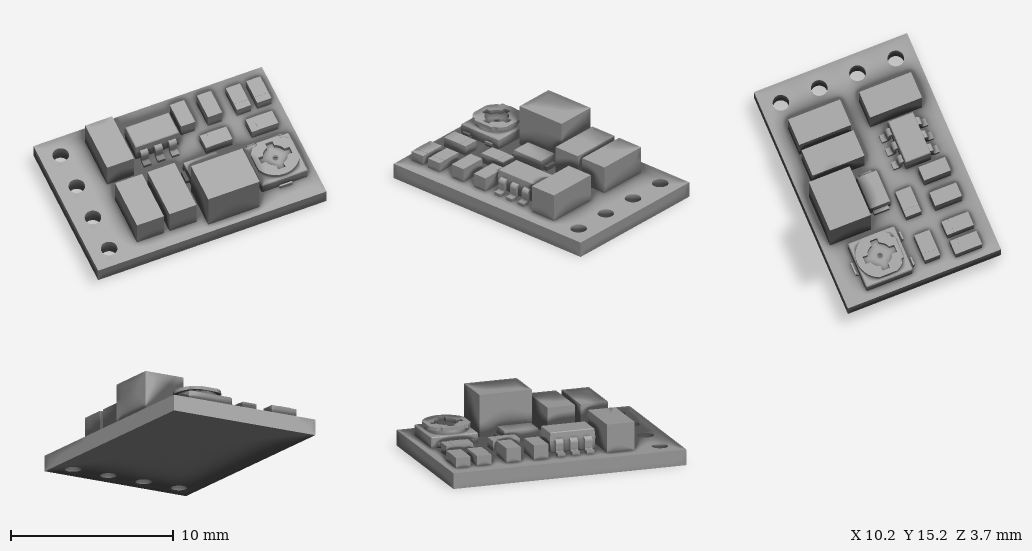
import cadquery as cq
import math

BOARD_X = 10.17
BOARD_Y = 15.24
BOARD_T = 1.0
OVERALL_Z = 3.7

PIN_HOLE_D = 1.02
PIN_HOLE_COUNT = 4
PIN_HOLE_PITCH = BOARD_X / PIN_HOLE_COUNT
PIN_HOLE_EDGE = PIN_HOLE_PITCH / 2

SINK = 0.08
LEAD_ROOT = 0.15
DIAGONAL = math.sqrt(0.5)

CHIP_LENGTH = 1.77
CHIP_WIDTH = 0.95
LOW_CHIP_H = 0.65
TALL_CHIP_H = 0.93
COATING_T = 0.02
WIDE_TERMINAL = 0.45
NARROW_TERMINAL = 0.34

LEFT_COLUMN_X = -3.17
LOW_CHIP_YS = [6.6, 5.25]
TALL_CHIP_YS = [3.3, 1.51]

UPRIGHT_CHIP_X = -0.9
UPRIGHT_CHIP_WIDTH = 1.0
UPRIGHT_CHIP_YS = [5.85, 2.79]

CAPACITOR_LENGTH = 3.45
CAPACITOR_WIDTH = 1.8
CAPACITOR_H = 1.8
CAPACITOR_TERMINAL = 0.53
CAPACITOR_CENTRES = [(-2.38, -3.69), (2.33, -3.69), (2.33, -1.52)]

INDUCTOR_CENTRE = (3.19, 1.68)
INDUCTOR_LENGTH = 3.43
INDUCTOR_WIDTH = 2.71
INDUCTOR_H = OVERALL_Z - BOARD_T
INDUCTOR_TERMINAL = 0.64

TRIMMER_CENTRE = (2.05, 5.47)
TRIMMER_SIDE = 3.08
TRIMMER_BODY_H = 0.7
TRIMMER_CHAMFER = 0.06

ROTOR_OFFSET_X = 0.03
ROTOR_R = 1.5
ROTOR_SIDE_FLAT = 1.37
ROTOR_LEFT_FLAT = 1.3
ROTOR_BOTTOM = 0.93
ROTOR_TOP = 1.15
NOTCH_X = 1.08
NOTCH_Y = 0.73
NOTCH_FILLET = 0.15

NECK_TOP_D = 2.5
NECK_BASE_D = 2.65

RECESS_DEPTH = 0.26
RECESS_D = 1.52
DRIVE_SLOT_LENGTH = 2.09
DRIVE_SLOT_WIDTH = 0.49
DIMPLE_D = 0.25
DIMPLE_MOUTH_D = 0.41
DIMPLE_DEPTH = 0.18

HOOK_REACH = 1.81
HOOK_BEND_R = 0.21
HOOK_THICKNESS = 0.1
HOOK_TOP = 0.38
SIDE_HOOK_WIDTH = 0.53
SIDE_HOOK_Y = 0.9
CENTRE_HOOK_WIDTH = 0.81

PACKAGE_CENTRE = (-2.45, -0.82)
PACKAGE_X = 1.74
PACKAGE_Y = 2.97
PACKAGE_BOTTOM = 0.09
PACKAGE_PARTING = 0.87
PACKAGE_TOP = 1.4
PACKAGE_DRAFT = 0.05
PACKAGE_CHAMFER = 0.05

LEAD_PITCH = 0.95
LEAD_WIDTH = 0.49
LEAD_THICKNESS = 0.21
LEAD_REACH = 1.52
LEAD_SHANK_X = 1.16
LEAD_HEEL_R = 0.09
LEAD_TOP = 0.98
LEAD_BEND_R = 0.27

DIODE_CENTRE = (0.8, 1.26)
DIODE_X = 1.4
DIODE_Y = 2.27
DIODE_PARTING = 0.27
DIODE_H = 0.7
DIODE_DRAFT = 0.05
DIODE_TAB_REACH = 1.37
DIODE_TAB_H = 0.27
DIODE_WIDE_TAB = 1.0
DIODE_NARROW_TAB = 0.78


def box(x_size, y_size, bottom, top):
    """Box centred on the Z axis between two heights."""
    return cq.Workplane("XY").workplane(offset=bottom).rect(x_size, y_size).extrude(top - bottom)


def frustum(bottom_size, top_size, bottom, top):
    """Rectangular block whose four sides lean between two sizes."""
    return (
        cq.Workplane("XY").workplane(offset=bottom).rect(*bottom_size)
        .workplane(offset=top - bottom).rect(*top_size)
        .loft(ruled=True)
    )


def make_board():
    first_hole_x = -PIN_HOLE_PITCH * (PIN_HOLE_COUNT - 1) / 2
    hole_y = -BOARD_Y / 2 + PIN_HOLE_EDGE
    hole_centres = [(first_hole_x + i * PIN_HOLE_PITCH, hole_y) for i in range(PIN_HOLE_COUNT)]
    holes = cq.Workplane("XY").pushPoints(hole_centres).circle(PIN_HOLE_D / 2).extrude(BOARD_T)
    return box(BOARD_X, BOARD_Y, 0, BOARD_T).cut(holes)


def make_capped_chip(length, width, height, terminal):
    """Chip lying along X: a middle block with a flush terminal block on each end."""
    chip = box(length - 2 * terminal, width, -SINK, height)
    for side in (-1, 1):
        end = box(terminal, width, -SINK, height).translate((side * (length - terminal) / 2, 0, 0))
        chip = chip.union(end, clean=False)
    return chip


def make_coated_chip(length, width):
    """Low chip lying along X, with a thin coating on top between its bare ends."""
    chip = box(length, width, -SINK, LOW_CHIP_H - COATING_T)
    coating = box(length - 2 * WIDE_TERMINAL, width, -SINK, LOW_CHIP_H)
    return chip.union(coating)


def make_rotor():
    """Round disc with three flats, and a notch at both ends of the left flat."""
    side_flat_x = math.sqrt(ROTOR_R**2 - ROTOR_SIDE_FLAT**2)
    notch_end_y = math.sqrt(ROTOR_R**2 - NOTCH_X**2)
    fillet_x = NOTCH_X + NOTCH_FILLET
    fillet_y = NOTCH_Y + NOTCH_FILLET
    fillet_mid_x = fillet_x - NOTCH_FILLET * DIAGONAL
    fillet_mid_y = fillet_y - NOTCH_FILLET * DIAGONAL
    arc_angle = (math.atan2(notch_end_y, NOTCH_X) + math.atan2(ROTOR_SIDE_FLAT, side_flat_x)) / 2
    arc_mid_x = ROTOR_R * math.cos(arc_angle)
    arc_mid_y = ROTOR_R * math.sin(arc_angle)

    return (
        cq.Workplane("XY").workplane(offset=ROTOR_BOTTOM)
        .moveTo(side_flat_x, -ROTOR_SIDE_FLAT)
        .threePointArc((ROTOR_R, 0), (side_flat_x, ROTOR_SIDE_FLAT))
        .lineTo(-side_flat_x, ROTOR_SIDE_FLAT)
        .threePointArc((-arc_mid_x, arc_mid_y), (-NOTCH_X, notch_end_y))
        .lineTo(-NOTCH_X, fillet_y)
        .threePointArc((-fillet_mid_x, fillet_mid_y), (-fillet_x, NOTCH_Y))
        .lineTo(-ROTOR_LEFT_FLAT, NOTCH_Y)
        .lineTo(-ROTOR_LEFT_FLAT, -NOTCH_Y)
        .lineTo(-fillet_x, -NOTCH_Y)
        .threePointArc((-fillet_mid_x, -fillet_mid_y), (-NOTCH_X, -fillet_y))
        .lineTo(-NOTCH_X, -notch_end_y)
        .threePointArc((-arc_mid_x, -arc_mid_y), (-side_flat_x, -ROTOR_SIDE_FLAT))
        .close()
        .extrude(ROTOR_TOP - ROTOR_BOTTOM)
    )


def make_neck():
    """Cone that joins the trimmer body to the rotor."""
    return (
        cq.Workplane("XY").workplane(offset=TRIMMER_BODY_H).circle(NECK_BASE_D / 2)
        .workplane(offset=ROTOR_BOTTOM - TRIMMER_BODY_H).circle(NECK_TOP_D / 2)
        .loft()
    )


def make_drive_recess():
    """Cross-shaped screwdriver recess with a countersunk dimple in its floor."""
    floor = ROTOR_TOP - RECESS_DEPTH
    sink_depth = (DIMPLE_MOUTH_D - DIMPLE_D) / 2
    recess = cq.Workplane("XY").workplane(offset=floor).circle(RECESS_D / 2).extrude(RECESS_DEPTH)
    recess = recess.union(box(DRIVE_SLOT_LENGTH, DRIVE_SLOT_WIDTH, floor, ROTOR_TOP))
    recess = recess.union(box(DRIVE_SLOT_WIDTH, DRIVE_SLOT_LENGTH, floor, ROTOR_TOP))
    dimple = (
        cq.Workplane("XZ")
        .moveTo(0, floor)
        .lineTo(DIMPLE_MOUTH_D / 2, floor)
        .lineTo(DIMPLE_D / 2, floor - sink_depth)
        .lineTo(DIMPLE_D / 2, floor - DIMPLE_DEPTH)
        .lineTo(0, floor - DIMPLE_DEPTH)
        .close()
        .revolve(360, (0, 0), (0, 1))
    )
    return recess.union(dimple)


def make_hook(width):
    """J-shaped lead on the +X side: it leaves under the body and curls upward."""
    bend_x = HOOK_REACH - HOOK_BEND_R
    inner_x = HOOK_REACH - HOOK_THICKNESS
    inner_r = HOOK_BEND_R - HOOK_THICKNESS
    root_x = TRIMMER_SIDE / 2 - LEAD_ROOT
    return (
        cq.Workplane("XZ")
        .moveTo(root_x, -SINK)
        .lineTo(bend_x, -SINK)
        .lineTo(bend_x, 0)
        .threePointArc(
            (bend_x + HOOK_BEND_R * DIAGONAL, HOOK_BEND_R * (1 - DIAGONAL)),
            (HOOK_REACH, HOOK_BEND_R),
        )
        .lineTo(HOOK_REACH, HOOK_TOP)
        .lineTo(inner_x, HOOK_TOP)
        .lineTo(inner_x, HOOK_BEND_R)
        .threePointArc(
            (bend_x + inner_r * DIAGONAL, HOOK_BEND_R - inner_r * DIAGONAL),
            (bend_x, HOOK_THICKNESS),
        )
        .lineTo(root_x, HOOK_THICKNESS)
        .close()
        .extrude(width / 2, both=True)
    )


def make_trimmer():
    body = box(TRIMMER_SIDE, TRIMMER_SIDE, -SINK, TRIMMER_BODY_H)
    body = body.edges("|Z or >Z").chamfer(TRIMMER_CHAMFER)
    rotor = make_neck().union(make_rotor()).cut(make_drive_recess())
    trimmer = body.union(rotor.translate((ROTOR_OFFSET_X, 0, 0)))

    trimmer = trimmer.union(make_hook(CENTRE_HOOK_WIDTH))
    left_hook = make_hook(SIDE_HOOK_WIDTH).mirror("YZ")
    for side in (-1, 1):
        trimmer = trimmer.union(left_hook.translate((0, side * SIDE_HOOK_Y, 0)))
    return trimmer


def make_lead():
    """Gull-wing lead on the +X side: shoulder bend, upright shank, heel bend and flat foot."""
    inner_x = LEAD_SHANK_X - LEAD_THICKNESS
    shoulder_x = LEAD_SHANK_X - LEAD_BEND_R
    shoulder_z = LEAD_TOP - LEAD_BEND_R
    shoulder_inner_r = LEAD_BEND_R - LEAD_THICKNESS
    heel_x = LEAD_SHANK_X + LEAD_HEEL_R
    heel_z = LEAD_THICKNESS + LEAD_HEEL_R
    root_x = PACKAGE_X / 2 - LEAD_ROOT
    return (
        cq.Workplane("XZ")
        .moveTo(heel_x, -SINK)
        .lineTo(LEAD_REACH, -SINK)
        .lineTo(LEAD_REACH, LEAD_THICKNESS)
        .lineTo(heel_x, LEAD_THICKNESS)
        .threePointArc(
            (heel_x - LEAD_HEEL_R * DIAGONAL, heel_z - LEAD_HEEL_R * DIAGONAL),
            (LEAD_SHANK_X, heel_z),
        )
        .lineTo(LEAD_SHANK_X, shoulder_z)
        .threePointArc(
            (shoulder_x + LEAD_BEND_R * DIAGONAL, shoulder_z + LEAD_BEND_R * DIAGONAL),
            (shoulder_x, LEAD_TOP),
        )
        .lineTo(root_x, LEAD_TOP)
        .lineTo(root_x, LEAD_TOP - LEAD_THICKNESS)
        .lineTo(shoulder_x, LEAD_TOP - LEAD_THICKNESS)
        .threePointArc(
            (shoulder_x + shoulder_inner_r * DIAGONAL, shoulder_z + shoulder_inner_r * DIAGONAL),
            (inner_x, shoulder_z),
        )
        .lineTo(inner_x, heel_z)
        .threePointArc(
            (heel_x - heel_z * DIAGONAL, heel_z - heel_z * DIAGONAL),
            (heel_x, 0),
        )
        .close()
        .extrude(LEAD_WIDTH / 2, both=True)
    )


def make_package():
    """Moulded body leaning inward from its parting line, on three leads per side."""
    parting_size = (PACKAGE_X, PACKAGE_Y)
    end_size = (PACKAGE_X - 2 * PACKAGE_DRAFT, PACKAGE_Y - 2 * PACKAGE_DRAFT)
    lower = frustum(end_size, parting_size, PACKAGE_BOTTOM, PACKAGE_PARTING)
    upper = frustum(parting_size, end_size, PACKAGE_PARTING, PACKAGE_TOP)
    package = lower.union(upper).edges("<Z or >Z").chamfer(PACKAGE_CHAMFER)

    right_lead = make_lead()
    left_lead = right_lead.mirror("YZ")
    for row in (-1, 0, 1):
        shift = (0, row * LEAD_PITCH, 0)
        package = package.union(right_lead.translate(shift)).union(left_lead.translate(shift))
    return package


def make_diode():
    """Moulded body leaning inward above its parting line, with a tab at each end."""
    top_size = (DIODE_X - 2 * DIODE_DRAFT, DIODE_Y - 2 * DIODE_DRAFT)
    diode = box(DIODE_X, DIODE_Y, -SINK, DIODE_PARTING)
    diode = diode.union(frustum((DIODE_X, DIODE_Y), top_size, DIODE_PARTING, DIODE_H))
    for side, tab_width in ((1, DIODE_WIDE_TAB), (-1, DIODE_NARROW_TAB)):
        tab = box(tab_width, DIODE_TAB_REACH, -SINK, DIODE_TAB_H)
        diode = diode.union(tab.translate((0, side * DIODE_TAB_REACH / 2, 0)))
    return diode


def mount(assembly, component, centre):
    """Fuse a part, modelled from Z = 0, onto the board's upper face."""
    return assembly.union(component.translate((*centre, BOARD_T)), clean=False)


result = make_board()

low_chip = make_coated_chip(CHIP_LENGTH, CHIP_WIDTH)
for chip_y in LOW_CHIP_YS:
    result = mount(result, low_chip, (LEFT_COLUMN_X, chip_y))

tall_chip = make_capped_chip(CHIP_LENGTH, CHIP_WIDTH, TALL_CHIP_H, NARROW_TERMINAL)
for chip_y in TALL_CHIP_YS:
    result = mount(result, tall_chip, (LEFT_COLUMN_X, chip_y))

upright_chip = make_coated_chip(CHIP_LENGTH, UPRIGHT_CHIP_WIDTH)
upright_chip = upright_chip.rotate((0, 0, 0), (0, 0, 1), 90)
for chip_y in UPRIGHT_CHIP_YS:
    result = mount(result, upright_chip, (UPRIGHT_CHIP_X, chip_y))

capacitor = make_capped_chip(CAPACITOR_LENGTH, CAPACITOR_WIDTH, CAPACITOR_H, CAPACITOR_TERMINAL)
for capacitor_centre in CAPACITOR_CENTRES:
    result = mount(result, capacitor, capacitor_centre)

inductor = make_capped_chip(INDUCTOR_LENGTH, INDUCTOR_WIDTH, INDUCTOR_H, INDUCTOR_TERMINAL)
inductor = inductor.rotate((0, 0, 0), (0, 0, 1), 90)
result = mount(result, inductor, INDUCTOR_CENTRE)

result = mount(result, make_trimmer(), TRIMMER_CENTRE)
result = mount(result, make_package(), PACKAGE_CENTRE)
result = mount(result, make_diode(), DIODE_CENTRE)